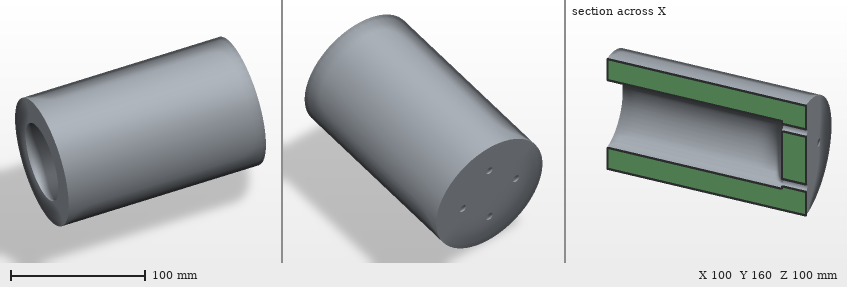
import cadquery as cq

length = 160.0
outer_diameter = 100.0
bore_diameter = 61.0
hole_diameter = 6.2
hole_circle_diameter = 50.0
hole_count = 4

end_thickness = (outer_diameter - bore_diameter) / 2
bore_depth = length - end_thickness


def cylinder_along_y(diameter, depth):
    """Cylinder centred on the Y axis, from the open face at Y = 0 towards +Y."""
    return cq.Workplane("XZ").circle(diameter / 2).extrude(-depth)


def end_holes():
    """Ring of holes running parallel to the axis through the closed end."""
    return (
        cq.Workplane("XZ")
        .polarArray(hole_circle_diameter / 2, 0, 360, hole_count)
        .circle(hole_diameter / 2)
        .extrude(-length)
    )


body = cylinder_along_y(outer_diameter, length)
bore = cylinder_along_y(bore_diameter, bore_depth)

result = body.cut(bore).cut(end_holes())